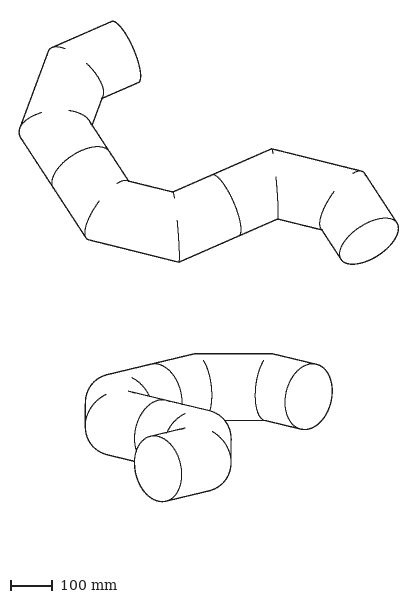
import cadquery as cq
import math

overall_length = 842.0
pipe_diameter = 160.0
pipe_radius = pipe_diameter / 2

elbow_reach = (overall_length - pipe_radius) / 3

outer_leg = (elbow_reach + pipe_radius) / 2
miter_angle = math.radians(22.5)
end_leg = outer_leg - pipe_radius * math.tan(miter_angle)

TOWARD_RIGHT = cq.Vector(1, 0, 0)
TOWARD_BACK = cq.Vector(0, 1, 0)
TOWARD_FRONT = cq.Vector(0, -1, 0)

run_start = cq.Vector(pipe_radius, 0, 0)
run_directions = [TOWARD_FRONT, TOWARD_RIGHT, TOWARD_BACK, TOWARD_RIGHT]


def elbow_end(start, inlet, outlet):
    """Center of the elbow's far end."""
    return start + (inlet + outlet) * elbow_reach


def make_elbow(start, inlet, outlet):
    """Solid elbow: straight leg, 45 degree middle piece, straight leg."""
    end = elbow_end(start, inlet, outlet)
    first_miter = start + inlet * end_leg
    second_miter = end - outlet * end_leg
    center_line = cq.Workplane("XY").polyline([start, first_miter, second_miter, end])
    end_plane = cq.Plane(origin=start, xDir=(0, 0, 1), normal=inlet)
    profile = cq.Workplane(end_plane).circle(pipe_radius)
    return profile.sweep(center_line, transition="right")


elbows = []
joint = run_start
for inlet, outlet in zip(run_directions[:-1], run_directions[1:]):
    elbows.append(make_elbow(joint, inlet, outlet).val())
    joint = elbow_end(joint, inlet, outlet)

result = cq.Compound.makeCompound(elbows)